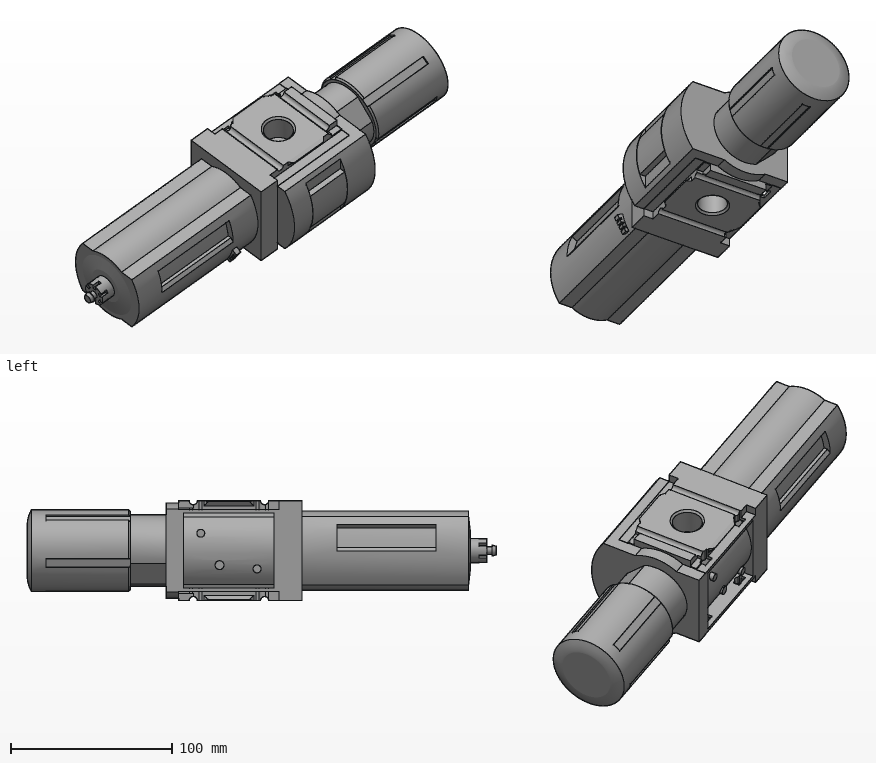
import cadquery as cq
import math


KNOB_TOP = 125.0
KNOB_BOTTOM = 61.0
FLANGE_TOP = 39.0
RECESS_HALF = 31.0
HOUSING_BOTTOM = -45.5
BOWL_BOTTOM = -148.5
BOWL_TIP = -149.8
DRAIN_BOTTOM = -160.0
OVERALL_LENGTH = 290.8
PIN_BOTTOM = KNOB_TOP - OVERALL_LENGTH

HOUSING_SIZE = 62.0
CORE_HEIGHT = 51.5
RECESS_STEP = 0.3
BARREL_DIAMETER = 59.3

PLATE_WIDTH = 48.9
GROOVE_DIAMETER = 5.0
GROOVE_Y = 22.0
CORNER_NOTCH_WIDTH = 4.5
CORNER_NOTCH_FLOOR = 26.5
HOOK_REACH = 2.5
HOOK_BASE_LENGTH = 30.8
HOOK_TIP_LENGTH = 25.5
HOOK_DROP = 0.5
HOOK_THICKNESS = 3.2
PORT_DIAMETER = 18.5
PORT_MOUTH_DIAMETER = 21.2
PORT_DEPTH = 17.5

COVER_FLAT_END = 37.5
OVERALL_WIDTH = 77.0
COVER_WINDOW_LENGTH = 30.0
COVER_WINDOW_DEPTH = 0.3
COVER_WALL_X = 39.5
COVER_SHELF_Z = 14.0

POCKET_LENGTH = 56.0
POCKET_HEIGHT = 46.5
POCKET_FLOOR_X = -18.3
POCKET_EDGE_X = -19.2
POCKET_SWELL_HEIGHT = 42.0
PEG_END_X = -30.0
PEGS = [(17.5, 10.8, 5.0), (5.8, -9.0, 5.5), (-17.5, -11.3, 5.0)]
SLOT_INNER_X = -23.3
SLOT_OUTER_X = -27.3
SLOT_LENGTH = 7.9
SLOT_Y = 20.6
SLOT_HOLE_X = -24.7
SLOT_BOTTOM_Z = 20.5

BOWL_FLAT_HEIGHT = 42.5
BOWL_FLAT_WIDTH = 43.5
BOWL_WIDTH = 56.5
BOWL_ROUND_DIAMETER = 49.5
TIP_OUTER_DIAMETER = 43.3
TIP_INNER_DIAMETER = 23.5
WINDOW_TOP = -67.0
WINDOW_BOTTOM = -128.5
WINDOW_OUTER_X = 28.8
WINDOW_OUTER_Z = (-1.0, 16.3)
WINDOW_INNER_Z = (2.0, 14.0)
WINDOW_LEDGE_X = 26.2
WINDOW_EDGE_X = 24.7
WINDOW_FLOOR_X = [23.8, 22.7, 21.0]
LATCH_Y = -64.8
LATCH_LENGTH = 3.8
LATCH_WIDTH = 12.2
LATCH_REACH = 32.0
LATCH_ROOT = 20.5
LATCH_ANGLE = -29
LATCH_RIDGES = 4
LATCH_GAP_WIDTH = 1.2
LATCH_GAP_DEPTH = 1.7

DRAIN_DIAMETER = 15.0
DRAIN_CORE_DIAMETER = 10.0
DRAIN_SLOT_TOP = -155.0
DRAIN_SLOT_WIDTH = 2.0
DRAIN_SLOTS = 6
PIN_DIAMETER = 5.0
PIN_HEAD_DIAMETER = 7.0
PIN_END_DIAMETER = 5.5
PIN_HEAD_LENGTH = 2.5

NECK_DIAMETER = 44.5
NECK_FLAT_DISTANCE = 20.5
NECK_FLAT_ANGLE = 45
KNOB_DIAMETER = 51.0
KNOB_CAP_DIAMETER = 34.3
KNOB_CAP_HEIGHT = 2.5
KNOB_CAP_BULGE = 0.5
KNOB_CHAMFER = 1.2
GRIP_GROOVES = 5
GRIP_GROOVE_WIDTH = 5.5
GRIP_GROOVE_DEPTH = 1.2
GRIP_GROOVE_TOP = 113.5
FIRST_GROOVE_ANGLE = 54

housing_half = HOUSING_SIZE / 2
core_half = CORE_HEIGHT / 2
plate_half = PLATE_WIDTH / 2
cover_crown_x = OVERALL_WIDTH - housing_half


def section_at(y):
    """Sketch plane across the long axis; extruding from it goes toward -Y."""
    return cq.Workplane("XZ", origin=(0, y, 0))


def rod(diameter, y_top, y_bottom):
    return section_at(y_top).circle(diameter / 2).extrude(y_top - y_bottom)


def cone(top_diameter, bottom_diameter, y_top, y_bottom):
    return (
        section_at(y_top)
        .circle(top_diameter / 2)
        .workplane(offset=y_top - y_bottom)
        .circle(bottom_diameter / 2)
        .loft()
    )


def block(x_range, y_range, z_range):
    """Box between two limits along each axis."""
    sizes = [abs(b - a) for a, b in (x_range, y_range, z_range)]
    middle = [(a + b) / 2 for a, b in (x_range, y_range, z_range)]
    return cq.Workplane("XY").box(*sizes).translate(tuple(middle))


def with_underside(shape):
    """The shape together with its copy mirrored to the -Z side."""
    return shape.union(shape.mirror("XY"))


def with_opposite_side(shape):
    """The shape together with its copy mirrored across the YZ plane."""
    return shape.union(shape.mirror("YZ"))


def make_covered_block(inset):
    """Middle block whose +X end is the domed gauge cover, with the dome moved in by an inset."""
    return (
        section_at(FLANGE_TOP)
        .moveTo(-housing_half, -core_half)
        .lineTo(COVER_FLAT_END - inset, -core_half)
        .threePointArc((cover_crown_x - inset, 0), (COVER_FLAT_END - inset, core_half))
        .lineTo(-housing_half, core_half)
        .close()
        .extrude(FLANGE_TOP + RECESS_HALF)
    )


def make_cover_window():
    """Sunken window across the dome: a thin domed skin, with a deeper step along both long edges."""
    end = COVER_WINDOW_LENGTH / 2

    def strip(z_limit):
        return block((COVER_WALL_X, cover_crown_x), (-end, end), (-z_limit, z_limit))

    screen = make_covered_block(COVER_WINDOW_DEPTH).intersect(strip(COVER_SHELF_Z))
    return strip(core_half).cut(screen)


def make_core():
    """Middle block with the gauge cover on +X and a shallow recess beside each plate."""
    recess = block(
        (plate_half, housing_half), (-RECESS_HALF, RECESS_HALF), (core_half - RECESS_STEP, core_half)
    )
    recesses = with_underside(with_opposite_side(recess))
    return make_covered_block(0).cut(recesses).cut(make_cover_window())


def make_collar():
    """Round collar that bulges above and below the flange around the neck."""
    collar = rod(BARREL_DIAMETER, FLANGE_TOP, RECESS_HALF)
    keep = block((-plate_half, plate_half), (RECESS_HALF, FLANGE_TOP), (-housing_half, housing_half))
    return collar.intersect(keep)


def make_hook():
    """Dovetail lug along one edge of a port plate, on the +X side."""
    tip_x = plate_half + HOOK_REACH
    profile = [
        (0, housing_half),
        (plate_half, housing_half),
        (tip_x, housing_half - HOOK_DROP),
        (plate_half, housing_half - HOOK_THICKNESS),
        (0, housing_half - HOOK_THICKNESS),
    ]
    wedge = section_at(HOOK_BASE_LENGTH / 2).polyline(profile).close().extrude(HOOK_BASE_LENGTH)
    plan = [
        (0, -HOOK_BASE_LENGTH / 2),
        (plate_half, -HOOK_BASE_LENGTH / 2),
        (tip_x, -HOOK_TIP_LENGTH / 2),
        (tip_x, HOOK_TIP_LENGTH / 2),
        (plate_half, HOOK_BASE_LENGTH / 2),
        (0, HOOK_BASE_LENGTH / 2),
    ]
    return wedge.intersect(cq.Workplane("XY").polyline(plan).close().extrude(housing_half))


def make_port():
    """Blind port with a countersunk mouth in the upper plate."""
    mouth = (PORT_MOUTH_DIAMETER - PORT_DIAMETER) / 2
    profile = [
        (0, housing_half - PORT_DEPTH),
        (PORT_DIAMETER / 2, housing_half - PORT_DEPTH),
        (PORT_DIAMETER / 2, housing_half - mouth),
        (PORT_MOUTH_DIAMETER / 2, housing_half),
        (0, housing_half),
    ]
    return cq.Workplane("XZ").polyline(profile).close().revolve(360, (0, 0), (0, 1))


def make_pocket():
    """Pocket open toward -X whose floor swells outward as part of the round barrel along Y."""
    radius = BARREL_DIAMETER / 2
    swell_half = POCKET_SWELL_HEIGHT / 2
    swell_x = -math.sqrt(radius**2 - swell_half**2)
    wall_half = POCKET_HEIGHT / 2
    return (
        section_at(POCKET_LENGTH / 2)
        .moveTo(-housing_half, -wall_half)
        .lineTo(POCKET_FLOOR_X, -wall_half)
        .lineTo(POCKET_EDGE_X, -swell_half)
        .lineTo(swell_x, -swell_half)
        .threePointArc((-radius, 0), (swell_x, swell_half))
        .lineTo(POCKET_EDGE_X, swell_half)
        .lineTo(POCKET_FLOOR_X, wall_half)
        .lineTo(-housing_half, wall_half)
        .close()
        .extrude(POCKET_LENGTH)
    )


def make_pegs():
    """Round pegs standing on the swollen floor of the side pocket."""
    pegs = cq.Workplane("XY")
    for y, z, diameter in PEGS:
        peg = cq.Workplane("YZ", origin=(PEG_END_X, y, z)).circle(diameter / 2)
        pegs = pegs.add(peg.extrude(POCKET_FLOOR_X - PEG_END_X))
    return pegs.combine()


def make_slots():
    """Slots from the recess beside the plate down into the pocket, one near each groove."""
    slots = cq.Workplane("XY")
    for y in (-SLOT_Y, SLOT_Y):
        slot = block(
            (SLOT_OUTER_X, SLOT_INNER_X),
            (y - SLOT_LENGTH / 2, y + SLOT_LENGTH / 2),
            (SLOT_BOTTOM_Z, housing_half),
        )
        hole = cq.Workplane("XY", origin=(SLOT_HOLE_X, y, SLOT_BOTTOM_Z)).circle(GROOVE_DIAMETER / 2)
        hole = hole.extrude(housing_half - SLOT_BOTTOM_Z)
        slots = slots.add(slot).add(hole)
    return slots.combine()


def make_housing_block():
    """Square housing with port plates, dovetail hooks, ports, cross grooves and side pocket."""
    base = block(
        (-housing_half, housing_half), (HOUSING_BOTTOM, -RECESS_HALF), (-housing_half, housing_half)
    )
    plates = block(
        (-plate_half, plate_half), (-RECESS_HALF, RECESS_HALF), (-housing_half, housing_half)
    )
    hooks = with_underside(with_opposite_side(make_hook()))
    housing = make_core().union(make_collar()).union(base).union(plates).union(hooks)

    cuts = make_port()
    for y in (-GROOVE_Y, GROOVE_Y):
        groove = (
            cq.Workplane("YZ", origin=(-plate_half, y, housing_half))
            .circle(GROOVE_DIAMETER / 2)
            .extrude(PLATE_WIDTH)
        )
        cuts = cuts.union(groove)
    notch = block(
        (plate_half - CORNER_NOTCH_WIDTH, plate_half),
        (GROOVE_Y, RECESS_HALF),
        (CORNER_NOTCH_FLOOR, housing_half),
    )
    cuts = cuts.union(with_opposite_side(notch)).union(make_slots())
    return housing.cut(with_underside(cuts)).cut(make_pocket()).union(make_pegs())


def make_latch():
    """Ridged latch on the bowl, pointing toward +X and -Z."""
    length = LATCH_REACH - LATCH_ROOT
    latch = cq.Workplane("XY").box(length, LATCH_LENGTH, LATCH_WIDTH)
    latch = latch.translate((LATCH_REACH - length / 2, LATCH_Y, 0))
    pitch = LATCH_WIDTH / LATCH_RIDGES
    for i in range(1, LATCH_RIDGES):
        gap = cq.Workplane("XY").box(LATCH_GAP_DEPTH, LATCH_LENGTH, LATCH_GAP_WIDTH)
        gap_middle = (LATCH_REACH - LATCH_GAP_DEPTH / 2, LATCH_Y, i * pitch - LATCH_WIDTH / 2)
        latch = latch.cut(gap.translate(gap_middle))
    return latch.rotate((0, 0, 0), (0, 1, 0), -LATCH_ANGLE)


def make_window():
    """Recess in the +X side of the bowl with a bowed floor, a sloping sill and a ledge above it."""
    outer_low, outer_high = WINDOW_OUTER_Z
    inner_low, inner_high = WINDOW_INNER_Z
    floor_low, floor_middle, floor_high = WINDOW_FLOOR_X
    return (
        section_at(WINDOW_TOP)
        .moveTo(WINDOW_OUTER_X, outer_low)
        .lineTo(WINDOW_LEDGE_X, inner_low)
        .lineTo(floor_low, inner_low)
        .threePointArc((floor_middle, (inner_low + inner_high) / 2), (floor_high, inner_high))
        .lineTo(WINDOW_EDGE_X, outer_high)
        .lineTo(WINDOW_OUTER_X, outer_high)
        .close()
        .extrude(WINDOW_TOP - WINDOW_BOTTOM)
    )


def make_bowl():
    """Bowl with flats above and below, bowed sides, a window on each side and a conical tip."""
    x = BOWL_FLAT_WIDTH / 2
    z = BOWL_FLAT_HEIGHT / 2
    bowl = (
        section_at(HOUSING_BOTTOM)
        .moveTo(-x, -z)
        .lineTo(x, -z)
        .threePointArc((BOWL_WIDTH / 2, 0), (x, z))
        .lineTo(-x, z)
        .threePointArc((-BOWL_WIDTH / 2, 0), (-x, -z))
        .close()
        .extrude(HOUSING_BOTTOM - BOWL_BOTTOM)
    )
    bowl = bowl.union(rod(BOWL_ROUND_DIAMETER, HOUSING_BOTTOM, BOWL_BOTTOM))
    tip = cone(TIP_OUTER_DIAMETER, TIP_INNER_DIAMETER, BOWL_BOTTOM, BOWL_TIP)
    return bowl.cut(with_opposite_side(make_window())).union(tip).union(make_latch())


def make_drain():
    """Castellated drain sleeve around a pin with a tapered head."""
    drain = rod(DRAIN_DIAMETER, BOWL_TIP, DRAIN_BOTTOM)
    core = rod(DRAIN_CORE_DIAMETER, BOWL_TIP, DRAIN_BOTTOM)
    for i in range(DRAIN_SLOTS):
        slot = block(
            (-DRAIN_SLOT_WIDTH / 2, DRAIN_SLOT_WIDTH / 2),
            (DRAIN_BOTTOM, DRAIN_SLOT_TOP),
            (0, DRAIN_DIAMETER),
        )
        drain = drain.cut(slot.rotate((0, 0, 0), (0, 1, 0), i * 360 / DRAIN_SLOTS))
    stem = rod(PIN_DIAMETER, DRAIN_SLOT_TOP, PIN_BOTTOM)
    head = cone(PIN_HEAD_DIAMETER, PIN_END_DIAMETER, PIN_BOTTOM + PIN_HEAD_LENGTH, PIN_BOTTOM)
    return drain.union(core).union(stem).union(head)


def make_neck():
    """Round neck between flange and knob with two opposite diagonal flats."""
    neck = rod(NECK_DIAMETER, KNOB_BOTTOM, FLANGE_TOP)
    between_flats = block(
        (-NECK_FLAT_DISTANCE, NECK_FLAT_DISTANCE),
        (FLANGE_TOP, KNOB_BOTTOM),
        (-NECK_DIAMETER, NECK_DIAMETER),
    )
    return neck.intersect(between_flats.rotate((0, 0, 0), (0, 1, 0), -NECK_FLAT_ANGLE))


def make_housing():
    return make_housing_block().union(make_neck()).union(make_bowl()).union(make_drain())


def make_knob():
    """Turning knob with a slightly domed cap and grip grooves open at its lower end."""
    radius = KNOB_DIAMETER / 2
    cap_radius = KNOB_CAP_DIAMETER / 2
    shoulder = KNOB_TOP - KNOB_CAP_HEIGHT
    cap_middle = ((radius + cap_radius) / 2, (shoulder + KNOB_TOP) / 2 + KNOB_CAP_BULGE)
    knob = (
        cq.Workplane("XY")
        .moveTo(0, KNOB_BOTTOM)
        .lineTo(radius - KNOB_CHAMFER, KNOB_BOTTOM)
        .lineTo(radius, KNOB_BOTTOM + KNOB_CHAMFER)
        .lineTo(radius, shoulder)
        .threePointArc(cap_middle, (cap_radius, KNOB_TOP))
        .lineTo(0, KNOB_TOP)
        .close()
        .revolve(360, (0, 0), (0, 1))
    )
    for i in range(GRIP_GROOVES):
        groove = block(
            (radius - GRIP_GROOVE_DEPTH, radius + GRIP_GROOVE_DEPTH),
            (KNOB_BOTTOM, GRIP_GROOVE_TOP),
            (-GRIP_GROOVE_WIDTH / 2, GRIP_GROOVE_WIDTH / 2),
        )
        angle = FIRST_GROOVE_ANGLE + i * 360 / GRIP_GROOVES
        knob = knob.cut(groove.rotate((0, 0, 0), (0, 1, 0), -angle))
    return knob


housing = make_housing()
knob = make_knob()
result = cq.Compound.makeCompound([housing.val(), knob.val()])